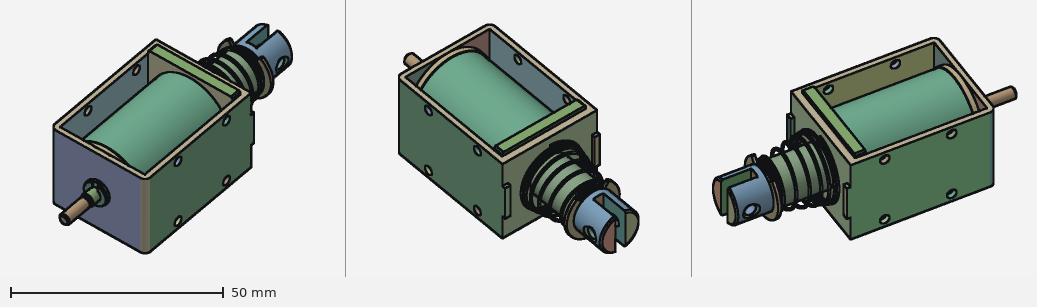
import cadquery as cq
import math


FRAME_WIDTH = 29.0
FRAME_HEIGHT = 24.0
FRAME_LENGTH = 39.1
SIDE_WALL = 1.6
FRONT_WALL = 1.55
END_WALL = 2.1
INNER_WIDTH = FRAME_WIDTH - 2 * SIDE_WALL
TAB_LENGTH = 1.0
TAB_HEIGHT = 9.8
SCREW_HOLE_RADIUS = 1.25
SCREW_HOLE_ROWS = (11.9, 29.9)
SCREW_HOLE_OFFSET = 9.65

POLE_PLATE_THICKNESS = 2.9
POLE_PLATE_RISE = 1.1
POLE_PLATE_CHAMFER = 0.5
COIL_RADIUS = 11.8
FLANGE_RADIUS = 12.0
FLANGE_THICKNESS = 1.6
END_WALL_INNER_FACE = FRAME_LENGTH - END_WALL
POLE_PLATE_FACE = END_WALL_INNER_FACE - POLE_PLATE_THICKNESS

PLUNGER_RADIUS = 6.0
PLUNGER_TIP = 65.05
PLUNGER_CHAMFER = 0.5
FORK_SLOT_WIDTH = 3.1
FORK_SLOT_DEPTH = 8.1
CROSS_HOLE_RADIUS = 1.55
CROSS_HOLE_RIM_RADIUS = 1.95
CROSS_HOLE_TO_TIP = 4.05

WIRE_RADIUS = 0.27
SPRING_SEAT_RADIUS = 9.3
SPRING_TIP_RADIUS = 6.3
TURN_PITCHES = (0.6, 1.25, 1.7, 2.65, 3.2, 3.6, 1.1)
LAST_HALF_TURN_RISE = 0.4
SPRING_RISE = sum(TURN_PITCHES) + LAST_HALF_TURN_RISE
STEPS_PER_TURN = 12

HEAD_CLIP_RADIUS = 8.1
HEAD_CLIP_THICKNESS = 0.9
HEAD_CLIP_FACE = FRAME_LENGTH + SPRING_RISE + 2 * WIRE_RADIUS
HEAD_CLIP_TIP_OFFSET = 4.7
HEAD_CLIP_TIP_HEIGHT = 6.3
CLIP_GROOVE_RADIUS = 5.4

PIN_END = -12.85
PIN_RADIUS = 1.55
PIN_CHAMFER = 0.4
SHOULDER_RADIUS = 1.8
SHOULDER_END = -4.0
NECK_RADIUS = 1.3
NECK_END = -4.8
WASHER_RADIUS = 3.5
WASHER_THICKNESS = 0.8
PIN_CLIP_RADIUS = 3.35
PIN_CLIP_THICKNESS = 0.55
PIN_CLIP_GAP = 1.6


def box(width, height, y_start, y_end):
    """A block centred on the plunger axis between two Y positions."""
    return cq.Workplane("XY").box(width, y_end - y_start, height).translate((0, (y_start + y_end) / 2, 0))


def cylinder(radius, y_start, y_end):
    """A cylinder about the plunger axis between two Y positions."""
    return cq.Workplane("XZ", origin=(0, y_start, 0)).circle(radius).extrude(y_start - y_end)


def make_frame():
    outside = box(FRAME_WIDTH, FRAME_HEIGHT, 0, FRAME_LENGTH).edges("|Z and <Y").fillet(SIDE_WALL)
    frame = outside.cut(box(INNER_WIDTH, FRAME_HEIGHT, FRONT_WALL, END_WALL_INNER_FACE))

    tabs = box(FRAME_WIDTH, TAB_HEIGHT, FRAME_LENGTH, FRAME_LENGTH + TAB_LENGTH)
    tabs = tabs.cut(box(INNER_WIDTH, TAB_HEIGHT, FRAME_LENGTH, FRAME_LENGTH + TAB_LENGTH))
    frame = frame.union(tabs)

    hole_centres = [(y, z) for y in SCREW_HOLE_ROWS for z in (-SCREW_HOLE_OFFSET, SCREW_HOLE_OFFSET)]
    holes = cq.Workplane("YZ").pushPoints(hole_centres).circle(SCREW_HOLE_RADIUS)
    return frame.cut(holes.extrude(FRAME_WIDTH, both=True))


def make_pole_plate():
    plate = box(INNER_WIDTH, FRAME_HEIGHT + POLE_PLATE_RISE, POLE_PLATE_FACE, END_WALL_INNER_FACE)
    plate = plate.translate((0, 0, POLE_PLATE_RISE / 2))
    return plate.edges("|Y and >Z").chamfer(POLE_PLATE_CHAMFER)


def make_housing():
    coil = cylinder(COIL_RADIUS, FRONT_WALL, POLE_PLATE_FACE)
    flange = cylinder(FLANGE_RADIUS, FRONT_WALL, FRONT_WALL + FLANGE_THICKNESS)
    plunger_bore = cylinder(PLUNGER_RADIUS, FRONT_WALL, FRAME_LENGTH)
    pin_bore = cylinder(SHOULDER_RADIUS, 0, FRONT_WALL)
    solid = make_frame().union(make_pole_plate()).union(coil).union(flange)
    return solid.cut(plunger_bore).cut(pin_bore)


def make_head():
    head = cylinder(PLUNGER_RADIUS, FRONT_WALL, PLUNGER_TIP).faces(">Y").chamfer(PLUNGER_CHAMFER)
    head = head.cut(box(FORK_SLOT_WIDTH, 2 * PLUNGER_RADIUS, PLUNGER_TIP - FORK_SLOT_DEPTH, PLUNGER_TIP))

    groove_end = HEAD_CLIP_FACE + HEAD_CLIP_THICKNESS
    groove = cylinder(PLUNGER_RADIUS, HEAD_CLIP_FACE, groove_end)
    head = head.cut(groove.cut(cylinder(CLIP_GROOVE_RADIUS, HEAD_CLIP_FACE, groove_end)))

    hole_y = PLUNGER_TIP - CROSS_HOLE_TO_TIP
    countersink = CROSS_HOLE_RIM_RADIUS - CROSS_HOLE_RADIUS
    rim_x = math.sqrt(PLUNGER_RADIUS**2 - CROSS_HOLE_RIM_RADIUS**2)
    flare_radius = CROSS_HOLE_RIM_RADIUS + PLUNGER_RADIUS - rim_x
    cutter = (
        cq.Workplane("XY")
        .moveTo(-PLUNGER_RADIUS, hole_y)
        .lineTo(-PLUNGER_RADIUS, hole_y + flare_radius)
        .lineTo(countersink - rim_x, hole_y + CROSS_HOLE_RADIUS)
        .lineTo(rim_x - countersink, hole_y + CROSS_HOLE_RADIUS)
        .lineTo(PLUNGER_RADIUS, hole_y + flare_radius)
        .lineTo(PLUNGER_RADIUS, hole_y)
        .close()
        .revolve(360, (0, hole_y, 0), (1, hole_y, 0))
    )
    return head.cut(cutter)


def make_head_clip():
    """A ring in the head's groove, open at the top between two radial edges with flat tips."""
    clip_end = HEAD_CLIP_FACE + HEAD_CLIP_THICKNESS
    gap = (
        cq.Workplane("XZ", origin=(0, clip_end, 0))
        .moveTo(0, 0)
        .lineTo(HEAD_CLIP_TIP_OFFSET, HEAD_CLIP_TIP_HEIGHT)
        .lineTo(HEAD_CLIP_RADIUS, HEAD_CLIP_TIP_HEIGHT)
        .lineTo(HEAD_CLIP_RADIUS, HEAD_CLIP_RADIUS)
        .lineTo(-HEAD_CLIP_RADIUS, HEAD_CLIP_RADIUS)
        .lineTo(-HEAD_CLIP_RADIUS, HEAD_CLIP_TIP_HEIGHT)
        .lineTo(-HEAD_CLIP_TIP_OFFSET, HEAD_CLIP_TIP_HEIGHT)
        .close()
        .extrude(HEAD_CLIP_THICKNESS)
    )
    return cylinder(HEAD_CLIP_RADIUS, HEAD_CLIP_FACE, clip_end).cut(gap)


def make_pin():
    shoulder = cylinder(SHOULDER_RADIUS, SHOULDER_END, FRONT_WALL)
    neck = cylinder(NECK_RADIUS, NECK_END, SHOULDER_END)
    rod = cylinder(PIN_RADIUS, PIN_END, NECK_END).faces("<Y").chamfer(PIN_CHAMFER)
    return shoulder.union(neck).union(rod)


def make_pin_stop():
    """A washer against the front wall, held by a clip with a gap at its top."""
    clip_end = -WASHER_THICKNESS - PIN_CLIP_THICKNESS
    washer = cylinder(WASHER_RADIUS, -WASHER_THICKNESS, 0)
    clip = cylinder(PIN_CLIP_RADIUS, clip_end, -WASHER_THICKNESS)
    gap = box(PIN_CLIP_GAP, PIN_CLIP_RADIUS, clip_end, -WASHER_THICKNESS)
    return washer.union(clip.cut(gap.translate((0, 0, PIN_CLIP_RADIUS / 2))))


def make_plunger():
    return make_head().union(make_head_clip()).union(make_pin_stop()).union(make_pin())


def spring_point(turns, rise):
    """A point on the wire's centre line, which starts at the top of the seat coil."""
    radius = SPRING_SEAT_RADIUS + (SPRING_TIP_RADIUS - SPRING_SEAT_RADIUS) * rise / SPRING_RISE
    angle = 2 * math.pi * turns
    return cq.Vector(-radius * math.sin(angle), FRAME_LENGTH + WIRE_RADIUS + rise, radius * math.cos(angle))


def make_spring():
    points = []
    rise = 0
    for turn, pitch in enumerate(TURN_PITCHES):
        for step in range(STEPS_PER_TURN):
            part_turn = step / STEPS_PER_TURN
            points.append(spring_point(turn + part_turn, rise + pitch * part_turn))
        rise += pitch

    half_turn_steps = STEPS_PER_TURN // 2
    for step in range(half_turn_steps + 1):
        part_turn = step / STEPS_PER_TURN
        last_rise = LAST_HALF_TURN_RISE * step / half_turn_steps
        points.append(spring_point(len(TURN_PITCHES) + part_turn, rise + last_rise))

    centre_line = cq.Edge.makeSpline(points)
    wire_end = cq.Plane(origin=points[0], xDir=(0, 0, 1), normal=centre_line.tangentAt(0))
    path = cq.Workplane("XY").add(cq.Wire.assembleEdges([centre_line]))
    return cq.Workplane(wire_end).circle(WIRE_RADIUS).sweep(path, isFrenet=True)


housing = make_housing()
plunger = make_plunger()
spring = make_spring()

result = cq.Compound.makeCompound([housing.val(), plunger.val(), spring.val()])